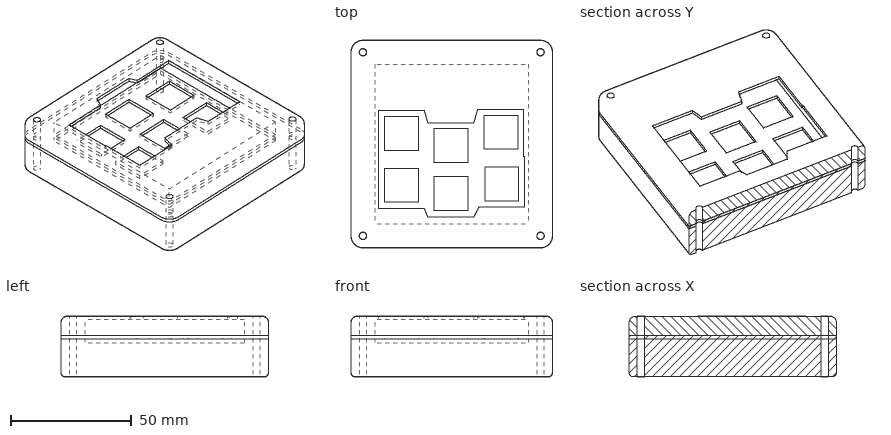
import cadquery as cq

WIDTH = 83.5
DEPTH = 86.0
CORNER_RADIUS = 5.0

CASE_HEIGHT = 15.7
PLATE_THICKNESS = 1.5
LID_HEIGHT = 8.0
PLATE_BOTTOM = CASE_HEIGHT
PLATE_TOP = PLATE_BOTTOM + PLATE_THICKNESS

BOTTOM_FILLET = 1.8
TOP_FILLET = 2.7

SCREW_DIAMETER = 2.9

LID_SKIN = 1.5
CAVITY_WALL = 10.0
CAVITY_WIDTH = WIDTH - 2 * CAVITY_WALL
CAVITY_DEPTH = DEPTH - 2 * CAVITY_WALL
BOARD_THICKNESS = 1.6

KEY_SIZE = 14.0
HALF_KEY = KEY_SIZE / 2
LEFT_X = -20.8
LEFT_TOP_Y = 4.3
LEFT_BOTTOM_Y = -17.0
MIDDLE_X = -0.3
MIDDLE_TOP_Y = -0.6
MIDDLE_BOTTOM_Y = -20.5
RIGHT_TOP_X = 20.4
RIGHT_TOP_Y = 4.9
RIGHT_BOTTOM_X = 20.7
RIGHT_BOTTOM_Y = -16.6
KEY_CENTRES = [
    (LEFT_X, LEFT_TOP_Y),
    (LEFT_X, LEFT_BOTTOM_Y),
    (MIDDLE_X, MIDDLE_TOP_Y),
    (MIDDLE_X, MIDDLE_BOTTOM_Y),
    (RIGHT_TOP_X, RIGHT_TOP_Y),
    (RIGHT_BOTTOM_X, RIGHT_BOTTOM_Y),
]

MARGIN = 2.4
WIDE_MARGIN = 2.7
STEP_Y = -5.25


def rounded_block(bottom, height):
    """Full-size layer with rounded vertical corners."""
    return (
        cq.Workplane("XY", origin=(0, 0, bottom))
        .rect(WIDTH, DEPTH)
        .extrude(height)
        .edges("|Z")
        .fillet(CORNER_RADIUS)
    )


def cavity_block(bottom, height):
    """Rectangular block with the outline shared by the lid cavity and the board."""
    return cq.Workplane("XY", origin=(0, 0, bottom)).rect(CAVITY_WIDTH, CAVITY_DEPTH).extrude(height)


def drill_screw_holes(body):
    """Cut the four screw holes right through a layer."""
    spacing_x = WIDTH - 2 * CORNER_RADIUS
    spacing_y = DEPTH - 2 * CORNER_RADIUS
    drills = (
        cq.Workplane("XY")
        .rect(spacing_x, spacing_y, forConstruction=True)
        .vertices()
        .circle(SCREW_DIAMETER / 2)
        .extrude(PLATE_TOP + LID_HEIGHT)
    )
    return body.cut(drills)


def lid_window():
    """Cutter for the stepped opening that surrounds all six keys."""
    left_edge = LEFT_X - HALF_KEY - MARGIN
    left_inner = LEFT_X + HALF_KEY + MARGIN
    left_top = LEFT_TOP_Y + HALF_KEY + WIDE_MARGIN
    left_bottom = LEFT_BOTTOM_Y - HALF_KEY - WIDE_MARGIN

    middle_left = MIDDLE_X - HALF_KEY - WIDE_MARGIN
    middle_right = MIDDLE_X + HALF_KEY + MARGIN
    middle_top = MIDDLE_TOP_Y + HALF_KEY + MARGIN
    middle_bottom = MIDDLE_BOTTOM_Y - HALF_KEY - WIDE_MARGIN

    right_top_inner = RIGHT_TOP_X - HALF_KEY - WIDE_MARGIN
    right_top_edge = RIGHT_TOP_X + HALF_KEY + MARGIN
    right_top = RIGHT_TOP_Y + HALF_KEY + MARGIN
    right_bottom_inner = RIGHT_BOTTOM_X - HALF_KEY - MARGIN
    right_bottom_edge = RIGHT_BOTTOM_X + HALF_KEY + MARGIN
    right_bottom = RIGHT_BOTTOM_Y - HALF_KEY - MARGIN

    outline = [
        (left_edge, left_top),
        (left_inner, left_top),
        (middle_left, middle_top),
        (middle_right, middle_top),
        (right_top_inner, right_top),
        (right_top_edge, right_top),
        (right_top_edge, STEP_Y),
        (right_bottom_edge, STEP_Y),
        (right_bottom_edge, right_bottom),
        (right_bottom_inner, right_bottom),
        (middle_right, middle_bottom),
        (middle_left, middle_bottom),
        (left_inner, left_bottom),
        (left_edge, left_bottom),
    ]
    return cq.Workplane("XY", origin=(0, 0, PLATE_TOP)).polyline(outline).close().extrude(LID_HEIGHT)


def make_board():
    """Board lying under the plate, seen through the key holes."""
    return cavity_block(PLATE_BOTTOM - BOARD_THICKNESS, BOARD_THICKNESS)


def make_case():
    """Bottom case with a recess that holds the board."""
    case = rounded_block(0, CASE_HEIGHT).faces("<Z").edges().fillet(BOTTOM_FILLET)
    return drill_screw_holes(case).cut(make_board())


def make_plate():
    """Switch plate with six square key holes."""
    key_holes = (
        cq.Workplane("XY", origin=(0, 0, PLATE_BOTTOM))
        .pushPoints(KEY_CENTRES)
        .rect(KEY_SIZE, KEY_SIZE)
        .extrude(PLATE_THICKNESS)
    )
    return drill_screw_holes(rounded_block(PLATE_BOTTOM, PLATE_THICKNESS)).cut(key_holes)


def make_lid():
    """Lid with a rounded rim, hollow underside and key window."""
    lid = rounded_block(PLATE_TOP, LID_HEIGHT).faces(">Z").edges().fillet(TOP_FILLET)
    lid = lid.cut(cavity_block(PLATE_TOP, LID_HEIGHT - LID_SKIN))
    return drill_screw_holes(lid).cut(lid_window())


case = make_case()
board = make_board()
plate = make_plate()
lid = make_lid()

result = cq.Compound.makeCompound([case.val(), board.val(), plate.val(), lid.val()])